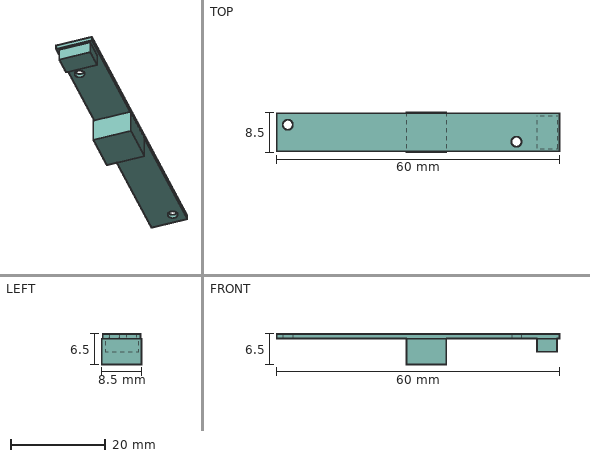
import cadquery as cq

plate_length = 60.0
plate_width = 8.1
plate_thickness = 1.0

hole_diameter = 2.1
hole_centers = [
    (2.35, 1.6),
    (50.85, -2.0),
]

block_side = 8.5
block_height = 5.5
block_start = 27.5

end_block_length = 4.3
end_block_height = 2.8
end_block_end_gap = 0.5
end_block_side_gap = 0.55
end_block_width = plate_width - 2 * end_block_side_gap
end_block_start = plate_length - end_block_end_gap - end_block_length


def bar(start, length, width, height, bottom):
    """Box from X = start, centred on Y = 0, standing on Z = bottom."""
    return (
        cq.Workplane("XY")
        .box(length, width, height, centered=(False, True, False))
        .translate((start, 0, bottom))
    )


def make_plate():
    """Strip with its two through holes."""
    strip = bar(0, plate_length, plate_width, plate_thickness, 0)
    holes = (
        cq.Workplane("XY")
        .pushPoints(hole_centers)
        .circle(hole_diameter / 2)
        .extrude(plate_thickness)
    )
    return strip.cut(holes)


def hanging_block(start, length, width, height):
    """Block whose top face joins the underside of the plate."""
    return bar(start, length, width, height, -height)


main_block = hanging_block(block_start, block_side, block_side, block_height)
end_block = hanging_block(end_block_start, end_block_length, end_block_width, end_block_height)

result = make_plate().union(main_block).union(end_block)